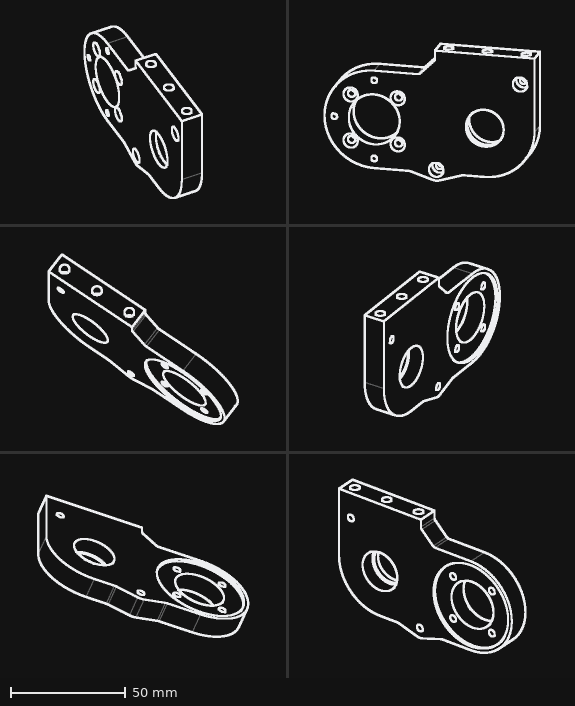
import cadquery as cq
import math

length = 95
thickness = 10.0
end_radius = 22.5
top_z = 34.0
motor_x = end_radius
shaft_x = length - end_radius

block_left_x = length - 2 * end_radius
ramp_rise = 7.1
ramp_fillet = 1.5

lug_x = 50.5
lug_z = -21.0
lug_radius = 5.0
lug_half_width = 12.0
lug_fillet = 3.0

motor_bore = 23.0
motor_recess = 41.0
motor_recess_depth = 1.1
shaft_bore = 17.0
bearing_bore = 19
lip_depth = 2.85

screw_hole = 3.2
screw_head = 6.5
counterbore_depth = 6.0
corner_screw_x = 88.4
corner_screw_z = 21.5
motor_screw_offset = 10.6
countersink_angle = 90
pin_hole = 2.6
pin_depth = 5.7
pin_offset = 18.05
top_hole = 4.3
top_hole_pitch = 17.5
top_hole_depth = 8.55


def front_plane(y=0):
    """XZ workplane at depth y, whose extrusions run toward +Y when negative."""
    return cq.Workplane("XZ", origin=(0, y, 0))


def cylinder(points, diameter, start, depth):
    """Cylinders along +Y at (x, z) points, starting at Y = start."""
    return front_plane(start).pushPoints(points).circle(diameter / 2).extrude(-depth)


def make_plate():
    drop = lug_z + end_radius
    reach = math.hypot(lug_half_width, drop)
    flank_angle = math.asin(lug_radius / reach) - math.atan2(drop, lug_half_width)
    tangent_dx = lug_radius * math.sin(flank_angle)
    tangent_z = lug_z - lug_radius * math.cos(flank_angle)
    ramp_foot_x = block_left_x - ramp_rise
    ramp_top_z = end_radius + ramp_rise
    arc_offset = end_radius * math.sqrt(0.5)

    plate = (
        front_plane()
        .moveTo(motor_x, end_radius)
        .lineTo(ramp_foot_x, end_radius)
        .lineTo(block_left_x, ramp_top_z)
        .lineTo(block_left_x, top_z)
        .lineTo(length, top_z)
        .lineTo(length, 0)
        .threePointArc((shaft_x + arc_offset, -arc_offset), (shaft_x, -end_radius))
        .lineTo(lug_x + lug_half_width, -end_radius)
        .lineTo(lug_x + tangent_dx, tangent_z)
        .threePointArc((lug_x, lug_z - lug_radius), (lug_x - tangent_dx, tangent_z))
        .lineTo(lug_x - lug_half_width, -end_radius)
        .lineTo(motor_x, -end_radius)
        .threePointArc((0, 0), (motor_x, end_radius))
        .close()
        .extrude(-thickness)
    )
    ramp_ends = cq.selectors.BoxSelector(
        (ramp_foot_x - 0.95, -0.95, end_radius - 0.95),
        (block_left_x + 0.95, thickness + 0.95, ramp_top_z + 0.95),
    )
    lug_roots = cq.selectors.BoxSelector(
        (lug_x - lug_half_width - 0.95, -0.95, -end_radius - 0.95),
        (lug_x + lug_half_width + 0.95, thickness + 0.95, -end_radius + 0.95),
    )
    plate = plate.edges("|Y").edges(ramp_ends).fillet(ramp_fillet)
    return plate.edges("|Y").edges(lug_roots).fillet(lug_fillet)


def cut_bores(body):
    body = body.cut(cylinder([(motor_x, 0)], motor_bore, 0, thickness))
    recess_start = thickness - motor_recess_depth
    body = body.cut(cylinder([(motor_x, 0)], motor_recess, recess_start, motor_recess_depth))
    body = body.cut(cylinder([(shaft_x, 0)], shaft_bore, 0, thickness))
    return body.cut(cylinder([(shaft_x, 0)], bearing_bore, lip_depth, thickness - lip_depth))


def cut_counterbored_holes(body):
    points = [(lug_x, lug_z), (corner_screw_x, corner_screw_z)]
    body = body.cut(cylinder(points, screw_hole, 0, thickness))
    return body.cut(cylinder(points, screw_head, 0, counterbore_depth))


def cut_motor_screws(body):
    return (
        body.faces("<Y")
        .workplane(origin=(motor_x, 0, 0))
        .rect(2 * motor_screw_offset, 2 * motor_screw_offset, forConstruction=True)
        .vertices()
        .cskHole(screw_hole, screw_head, countersink_angle)
    )


def cut_pin_holes(body):
    points = [
        (motor_x - pin_offset, 0),
        (motor_x, pin_offset),
        (motor_x, -pin_offset),
    ]
    return body.cut(cylinder(points, pin_hole, 0, pin_depth))


def cut_top_holes(body):
    block_center_x = (block_left_x + length) / 2
    holes = (
        cq.Workplane("XY", origin=(block_center_x, thickness / 2, top_z))
        .rarray(top_hole_pitch, 0.95, 3, 1)
        .circle(top_hole / 2)
        .extrude(-top_hole_depth)
    )
    return body.cut(holes)


result = make_plate()
result = cut_bores(result)
result = cut_counterbored_holes(result)
result = cut_motor_screws(result)
result = cut_pin_holes(result)
result = cut_top_holes(result)